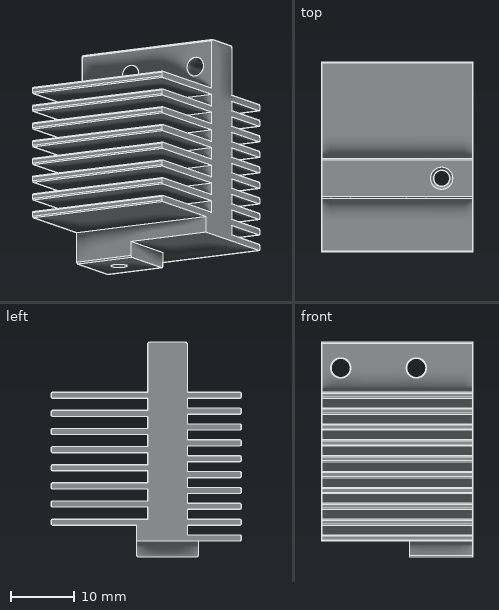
import cadquery as cq


length = 23.8
depth = 30.0
foot_height = 2.5
total_height = 33.9
web_height = total_height - foot_height

web_thickness = 6.3
front_fin_reach = 8.5
web_front = -depth / 2 + front_fin_reach
web_rear = web_front + web_thickness
web_middle = (web_front + web_rear) / 2
rear_fin_reach = depth / 2 - web_rear

fin_thickness = 1.0
top_fin_base = 22.5
front_fin_count = 10
rear_fin_count = 8
ledge_height = 2.5
front_fin_pitch = top_fin_base / (front_fin_count - 1)
rear_fin_pitch = (top_fin_base - ledge_height) / (rear_fin_count - 1)

foot_overhang = 1.75
foot_length = 10.0
foot_depth = web_thickness + 2 * foot_overhang

edge_chamfer = 0.25
fin_chamfer = 0.2

cross_hole_diameter = 3.0
cross_hole_rim_diameter = 3.2
cross_hole_end_distance = 3.0
cross_hole_first_x = -length / 2 + cross_hole_end_distance
cross_hole_spacing = 11.9
cross_hole_top_distance = 4.1
cross_hole_z = web_height - cross_hole_top_distance

vertical_hole_diameter = 2.5
vertical_hole_rim_diameter = 3.5
vertical_hole_x = 7.0


def block(size_x, y_start, size_y, z_start, size_z):
    """Box centred on X, placed by its front and bottom faces."""
    box = cq.Workplane("XY").box(size_x, size_y, size_z, centered=(True, False, False))
    return box.translate((0, y_start, z_start))


def make_web():
    web = block(length, web_front, web_thickness, 0, web_height)
    return web.faces(">Z").edges("|X").chamfer(edge_chamfer)


def add_fins(body, y_start, reach, tip_face, first_base, pitch, count):
    """Add a set of fins with chamfered tips."""
    for index in range(count):
        fin = block(length, y_start, reach, first_base + index * pitch, fin_thickness)
        body = body.union(fin.faces(tip_face).edges("|X").chamfer(fin_chamfer))
    return body


def make_foot():
    """Short foot at the +X end with its long bottom edges broken."""
    foot = block(foot_length, web_middle - foot_depth / 2, foot_depth, -foot_height, foot_height)
    foot = foot.faces("<Z").edges("|X").chamfer(edge_chamfer)
    return foot.translate(((length - foot_length) / 2, 0, 0))


def chamfered_hole(start, direction, hole_diameter, rim_diameter, hole_depth):
    """Cutter for a hole whose entry has a 45 degree chamfer."""
    start_point = cq.Vector(*start)
    axis = cq.Vector(*direction)
    rim_depth = (rim_diameter - hole_diameter) / 2
    bore = cq.Solid.makeCylinder(hole_diameter / 2, hole_depth, start_point, axis)
    rim = cq.Solid.makeCone(rim_diameter / 2, hole_diameter / 2, rim_depth, start_point, axis)
    return bore.fuse(rim)


def cut_holes(body):
    for x in (cross_hole_first_x, cross_hole_first_x + cross_hole_spacing):
        body = body.cut(chamfered_hole((x, web_front, cross_hole_z), (0, 1, 0), cross_hole_diameter,
                                       cross_hole_rim_diameter, web_thickness))
    return body.cut(chamfered_hole((vertical_hole_x, web_middle, web_height), (0, 0, -1),
                                   vertical_hole_diameter, vertical_hole_rim_diameter, total_height))


result = make_web()
result = result.union(block(length, web_rear, foot_overhang, 0, ledge_height))
result = add_fins(result, -depth / 2, front_fin_reach, "<Y", 0, front_fin_pitch, front_fin_count)
result = add_fins(result, web_rear, rear_fin_reach, ">Y", ledge_height, rear_fin_pitch, rear_fin_count)
result = result.union(make_foot())
result = cut_holes(result)